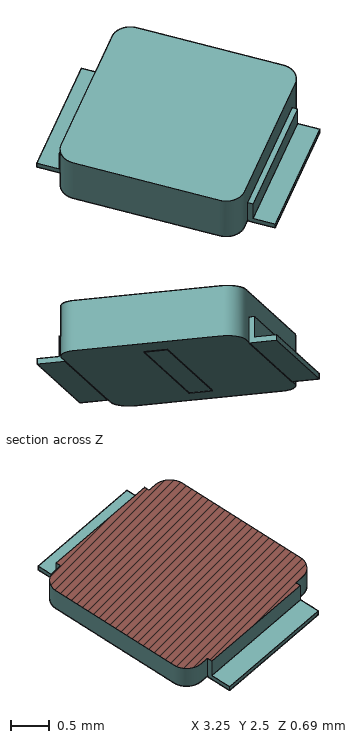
import cadquery as cq

body_side = 2.5
body_height = 0.68
corner_radius = 0.25
standoff = 0.01

overall_length = 3.25
terminal_width = 1.755
terminal_thickness = 0.075
terminal_height = 0.35

pad_length = 0.32
pad_width = 1.852


def make_body():
    block = cq.Workplane("XY").workplane(offset=standoff).rect(body_side, body_side).extrude(body_height)
    return block.edges("|Z").fillet(corner_radius)


def make_terminal():
    """L-section on the +X side: a foot pointing outwards and a leg against the body."""
    inner = body_side / 2
    outer = overall_length / 2
    leg_face = inner + terminal_thickness
    section = [
        (inner, 0),
        (outer, 0),
        (outer, terminal_thickness),
        (leg_face, terminal_thickness),
        (leg_face, terminal_height),
        (inner, terminal_height),
    ]
    return cq.Workplane("XZ").polyline(section).close().extrude(terminal_width / 2, both=True)


def make_pad():
    return cq.Workplane("XY").rect(pad_length, pad_width).extrude(standoff)


terminal = make_terminal()
result = make_body().union(make_pad()).union(terminal).union(terminal.mirror("YZ"))